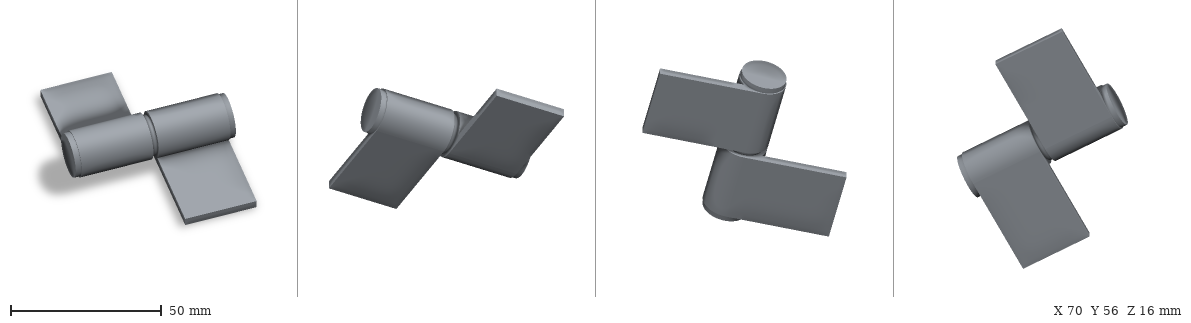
import cadquery as cq

overall_width = 70.0
overall_length = 56.0
barrel_diameter = 16.0
plate_thickness = 3.0

cap_diameter = 15.2
cap_thickness = 2.0
ring_diameter = 14.15
ring_thickness = 1.95
ring_bulge = 0.5

barrel_radius = barrel_diameter / 2
ring_radius = ring_diameter / 2
half_ring = ring_thickness / 2
barrel_length = (overall_length - ring_thickness) / 2 - cap_thickness
barrel_center_y = half_ring + barrel_length / 2
cap_center_y = (overall_length - cap_thickness) / 2


def disc_along_y(diameter, length, center_y):
    """Solid cylinder on the hinge axis, centred at center_y."""
    return (
        cq.Workplane("XZ", origin=(0, center_y + length / 2, 0))
        .circle(diameter / 2)
        .extrude(length)
    )


def make_leaf(side):
    """Barrel with a flat plate tangent to its underside.

    side = 1 puts the leaf in the +X, +Y quarter; side = -1 in the -X, -Y quarter.
    """
    center_y = side * barrel_center_y
    plate_reach = overall_width / 2
    plate = cq.Workplane("XY").box(plate_reach, barrel_length, plate_thickness).translate(
        (side * plate_reach / 2, center_y, -barrel_radius + plate_thickness / 2)
    )
    return disc_along_y(barrel_diameter, barrel_length, center_y).union(plate)


def make_cap(side):
    """Plain disc closing the outer end of a barrel."""
    return disc_along_y(cap_diameter, cap_thickness, side * cap_center_y)


def make_ring():
    """Spacer between the barrels with a convex rim."""
    rim_start = ring_radius - ring_bulge
    return (
        cq.Workplane("XY")
        .moveTo(0, -half_ring)
        .lineTo(rim_start, -half_ring)
        .threePointArc((ring_radius, 0), (rim_start, half_ring))
        .lineTo(0, half_ring)
        .close()
        .revolve(360, (0, 0, 0), (0, 1, 0))
    )


leaves = [make_leaf(side) for side in (-1, 1)]
caps = [make_cap(side) for side in (-1, 1)]
ring = make_ring()

result = cq.Compound.makeCompound([body.val() for body in [*leaves, *caps, ring]])